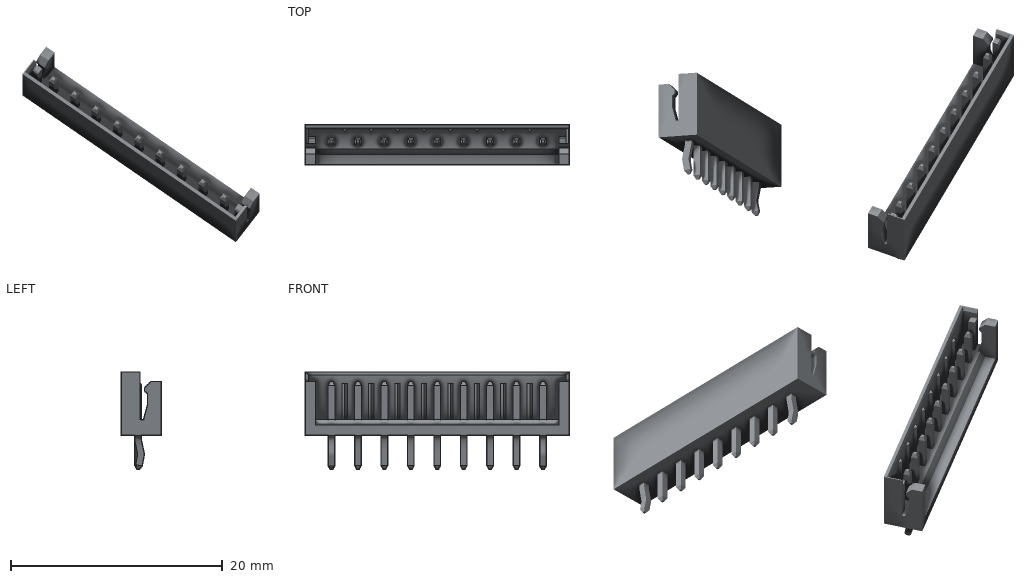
import cadquery as cq
import math

PIN_COUNT = 9
PITCH = 2.5
PIN_WIDTH = 0.64
PIN_TIP_WIDTH = 0.25
PIN_TIP_LENGTH = 0.36
PIN_TOP = 5.1
PIN_BOTTOM = -3.2

KINK_START = -0.4
KINK_CREST_TOP = -1.68
KINK_CREST_BOTTOM = -1.9
KINK_OFFSET = 0.27
TAIL_TILT = math.radians(11)
KINKED_PIN_BOTTOM = -3.21

LENGTH = (PIN_COUNT + 1) * PITCH
DEPTH = 3.8
HEIGHT = 6.0
BACK = 1.6
FRONT = BACK - DEPTH
FLOOR = 1.5

BACK_WALL = 0.43
END_WALL = 0.34
END_WALL_FRONT = BACK - 1.8
BACK_CHAMFER_WIDTH = 0.125
END_CHAMFER_WIDTH = 0.25
RIM_CHAMFER_HEIGHT = 0.3

SILL_HEIGHT = 1.0
SILL_SLOPE = FLOOR - SILL_HEIGHT
SILL_SLOPE_BACK = FRONT + 1.48

POST_WIDTH = 1.0
POST_TOP = 5.1
POST_TOP_BACK = FRONT + 1.0
NOSE_BACK = FRONT + 1.6
NOSE_TOP = 4.5
NOSE_BOTTOM = 4.2
NECK_BACK = FRONT + 1.33
NECK_TOP = 3.95
NECK_BOTTOM = 2.85
POST_FOOT_BACK = FRONT + 1.7

BLOCK_DEPTH = 0.67
BLOCK_TOP = 5.1
BLOCK_CHAMFER = 0.15

RIB_HEIGHT = 0.25
RIB_TOP = 4.9

pin_positions = [(i - (PIN_COUNT - 1) / 2) * PITCH for i in range(PIN_COUNT)]
rib_positions = [x + PITCH / 2 for x in pin_positions[:-1]]


def extrude_along_x(points, x_start, x_end):
    """Prism with a (y, z) outline, running from x_start to x_end."""
    return cq.Workplane("YZ").workplane(offset=x_start).polyline(points).close().extrude(x_end - x_start)


def make_walls():
    """U-shaped rim: the back wall with both end walls, chamfered inside at the top."""
    wall_depth = BACK - END_WALL_FRONT
    inner_length = LENGTH - 2 * END_WALL
    walls = (
        cq.Workplane("XY").workplane(offset=FLOOR)
        .center(0, BACK - wall_depth / 2)
        .rect(LENGTH, wall_depth)
        .extrude(HEIGHT - FLOOR)
    )
    cavity_back = BACK - BACK_WALL
    cavity_front = 2 * END_WALL_FRONT - cavity_back
    cavity_depth = cavity_back - cavity_front
    cavity = (
        cq.Workplane("XY").workplane(offset=FLOOR)
        .center(0, END_WALL_FRONT)
        .rect(inner_length, cavity_depth)
        .extrude(HEIGHT - FLOOR)
    )
    rim_flare = (
        cq.Workplane("XY").workplane(offset=HEIGHT - RIM_CHAMFER_HEIGHT)
        .center(0, END_WALL_FRONT)
        .rect(inner_length, cavity_depth)
        .workplane(offset=RIM_CHAMFER_HEIGHT)
        .rect(inner_length + 2 * END_CHAMFER_WIDTH, cavity_depth + 2 * BACK_CHAMFER_WIDTH)
        .loft()
    )
    return walls.cut(cavity).cut(rim_flare)


def make_base():
    """Floor slab whose front edge slopes down to the sill."""
    return extrude_along_x(
        [
            (BACK, 0),
            (FRONT, 0),
            (FRONT, SILL_HEIGHT),
            (SILL_SLOPE_BACK - SILL_SLOPE, SILL_HEIGHT),
            (SILL_SLOPE_BACK, FLOOR),
            (BACK, FLOOR),
        ],
        -LENGTH / 2,
        LENGTH / 2,
    )


def make_latch_post(x_start):
    """Front corner post with a hooked nose that faces the end wall."""
    return extrude_along_x(
        [
            (FRONT, 0),
            (FRONT, POST_TOP),
            (POST_TOP_BACK, POST_TOP),
            (NOSE_BACK, NOSE_TOP),
            (NOSE_BACK, NOSE_BOTTOM),
            (NECK_BACK, NECK_TOP),
            (NECK_BACK, NECK_BOTTOM),
            (POST_FOOT_BACK, FLOOR),
            (POST_FOOT_BACK, 0),
        ],
        x_start,
        x_start + POST_WIDTH,
    )


def make_guide_block(x_start):
    """Block inside an end wall, flush with its front, chamfered at the top back edge."""
    block_back = END_WALL_FRONT + BLOCK_DEPTH
    return extrude_along_x(
        [
            (END_WALL_FRONT, 0),
            (END_WALL_FRONT, BLOCK_TOP),
            (block_back - BLOCK_CHAMFER, BLOCK_TOP),
            (block_back, BLOCK_TOP - BLOCK_CHAMFER),
            (block_back, 0),
        ],
        x_start,
        x_start + POST_WIDTH,
    )


def make_rib(x):
    """Upright triangular rib on the inside of the back wall."""
    wall_face = BACK - BACK_WALL
    return (
        cq.Workplane("XY")
        .moveTo(x - RIB_HEIGHT, wall_face)
        .lineTo(x, wall_face - RIB_HEIGHT)
        .lineTo(x + RIB_HEIGHT, wall_face)
        .lineTo(x + RIB_HEIGHT, BACK)
        .lineTo(x - RIB_HEIGHT, BACK)
        .close()
        .extrude(RIB_TOP)
    )


def make_housing():
    body = make_base().union(make_walls())
    for x_start in (-LENGTH / 2, LENGTH / 2 - POST_WIDTH):
        body = body.union(make_latch_post(x_start)).union(make_guide_block(x_start))
    for x in rib_positions:
        body = body.union(make_rib(x))
    pin_holes = (
        cq.Workplane("XY")
        .pushPoints([(x, 0) for x in pin_positions])
        .rect(PIN_WIDTH, PIN_WIDTH)
        .extrude(FLOOR)
    )
    return body.cut(pin_holes)


def make_tip(x, root, direction, length):
    """Blunt pyramid that ends a pin; root and direction are (y, z) pairs."""
    root_plane = cq.Plane(origin=(x, *root), xDir=(1, 0, 0), normal=(0, *direction))
    return (
        cq.Workplane(root_plane)
        .rect(PIN_WIDTH, PIN_WIDTH)
        .workplane(offset=length)
        .rect(PIN_TIP_WIDTH, PIN_TIP_WIDTH)
        .loft()
    )


def make_pin(x, bends, tail_root, tail_tilt):
    """Square pin through the (y, z) bends, ending in a tail tip tilted towards the back."""
    half = PIN_WIDTH / 2
    top_root = (0, PIN_TOP - PIN_TIP_LENGTH)
    tail_y, tail_z = tail_root
    across_y = half * math.cos(tail_tilt)
    across_z = half * math.sin(tail_tilt)
    centre_line = [top_root, *bends]
    front_side = [(y - half, z) for y, z in centre_line]
    back_side = [(y + half, z) for y, z in reversed(centre_line)]
    tail_end = [(tail_y - across_y, tail_z - across_z), (tail_y + across_y, tail_z + across_z)]
    shank = extrude_along_x(front_side + tail_end + back_side, x - half, x + half)
    top_tip = make_tip(x, top_root, (0, 1), PIN_TIP_LENGTH)
    tail_direction = (math.sin(tail_tilt), -math.cos(tail_tilt))
    tail_tip = make_tip(x, tail_root, tail_direction, PIN_TIP_LENGTH)
    return shank.union(top_tip).union(tail_tip)


def make_straight_pin(x):
    return make_pin(x, [], (0, PIN_BOTTOM + PIN_TIP_LENGTH), 0)


def make_kinked_pin(x):
    """Pin whose tail swings out to the front and back again, so that it grips its board hole."""
    bends = [
        (0, KINK_START),
        (-KINK_OFFSET, KINK_CREST_TOP),
        (-KINK_OFFSET, KINK_CREST_BOTTOM),
    ]
    tip_drop = PIN_TIP_LENGTH * math.cos(TAIL_TILT) + PIN_TIP_WIDTH / 2 * math.sin(TAIL_TILT)
    tail_z = KINKED_PIN_BOTTOM + tip_drop
    tail_y = -KINK_OFFSET + (KINK_CREST_BOTTOM - tail_z) * math.tan(TAIL_TILT)
    return make_pin(x, bends, (tail_y, tail_z), TAIL_TILT)


housing = make_housing()
kinked_pins = [make_kinked_pin(x) for x in (pin_positions[0], pin_positions[-1])]
straight_pins = [make_straight_pin(x) for x in pin_positions[1:-1]]

pins = kinked_pins + straight_pins
result = cq.Compound.makeCompound([housing.val(), *[pin.val() for pin in pins]])